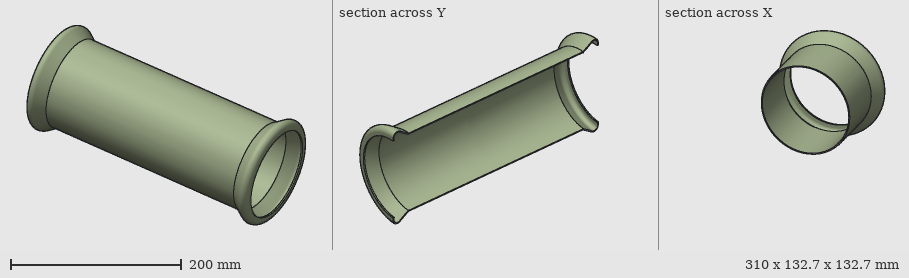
import cadquery as cq
import math

length = 310.0
tube_radius = 112.8 / 2
bore_radius = 108.8 / 2
lip_radius = 110.5 / 2
wall = tube_radius - bore_radius

rim_radius = 132.7 / 2
bead_radius = 6.8
bead_centre_radius = rim_radius - bead_radius
groove_radius = bead_radius - wall
flare_length = 23.5

axial_gap = flare_length - bead_radius
radial_gap = bead_centre_radius - tube_radius
cone_angle = math.asin(bead_radius / math.hypot(axial_gap, radial_gap)) + math.atan2(radial_gap, axial_gap)


def arc_point(radius, angle):
    """Axial depth and radius of a point on the bead section; angle is from the radial direction."""
    return (
        bead_radius + radius * math.sin(angle),
        bead_centre_radius + radius * math.cos(angle),
    )


bead_middle_angle = (cone_angle - math.pi / 2) / 2
groove_end = arc_point(groove_radius, cone_angle)
inner_cone_end = groove_end[0] + (groove_end[1] - bore_radius) / math.tan(cone_angle)

half_section = (
    cq.Workplane("XY")
    .moveTo(length / 2, tube_radius)
    .lineTo(flare_length, tube_radius)
    .lineTo(*arc_point(bead_radius, cone_angle))
    .threePointArc(arc_point(bead_radius, bead_middle_angle), (0, bead_centre_radius))
    .lineTo(0, lip_radius)
    .lineTo(wall, lip_radius)
    .lineTo(wall, bead_centre_radius)
    .threePointArc(arc_point(groove_radius, bead_middle_angle), groove_end)
    .lineTo(inner_cone_end, bore_radius)
    .lineTo(length / 2, bore_radius)
    .close()
)

half_tube = half_section.revolve(360, (0, 0, 0), (1, 0, 0)).translate((-length / 2, 0, 0))
result = half_tube.union(half_tube.mirror("YZ")).clean()